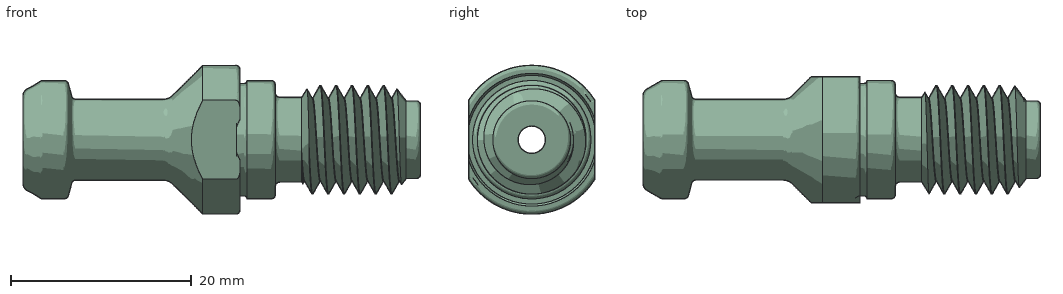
import cadquery as cq
import math

length = 44.0
head_radius = 6.55
head_face_radius = 5.35
head_taper_angle = 30.0
head_back_angle = 15.0
head_edge_round = 0.55
nose_round = 0.9

shank_radius = 4.5
shank_start = 5.5
head_fillet = 0.45
flange_fillet = 1.5

flange_diameter = 16.5
flange_radius = flange_diameter / 2
flange_start = 19.9
flange_end = 24.02
flange_cone_angle = 45.0
across_flats = 14.0
edge_round = 0.5

recess_depth = 0.4
recess_floor_radius = 7.15
recess_mouth_radius = 7.35

pilot_radius = 6.55
pilot_start = 24.75
pilot_end = 27.95
groove_radius = 6.25
groove_fillet = 0.25

neck_radius = 4.7
neck_fillet = 0.5

thread_start = 30.8
thread_end = 42.4
thread_radius = 6.05
thread_root_radius = 4.6
thread_pitch = 1.75
thread_crest_flat = 0.1
thread_flank_angle = 30.0
crest_position = 32.45
lead_in_length = 0.9
lead_out_length = 1.3
tip_radius = 4.3

bore_radius = 1.5
countersink_radius = 2.02


def rounded_profile(corners):
    """Close a polygon of (x, r, round) corners, with tangent arcs where round is not zero."""
    path = []
    for i, (x, r, radius) in enumerate(corners):
        corner = cq.Vector(x, r)
        if radius == 0:
            path.append((corner,))
            continue
        before = corners[i - 1]
        after = corners[(i + 1) % len(corners)]
        to_before = (cq.Vector(before[0], before[1]) - corner).normalized()
        to_after = (cq.Vector(after[0], after[1]) - corner).normalized()
        half_angle = to_before.getAngle(to_after) / 2
        setback = radius / math.tan(half_angle)
        bulge_gap = radius / math.sin(half_angle) - radius
        middle = corner + (to_before + to_after).normalized() * bulge_gap
        path.append((corner + to_before * setback, middle, corner + to_after * setback))

    sketch = cq.Workplane("XY").moveTo(path[0][-1].x, path[0][-1].y)
    for step in path[1:]:
        sketch = sketch.lineTo(step[0].x, step[0].y)
        if len(step) == 3:
            sketch = sketch.threePointArc(step[1].toTuple(), step[2].toTuple())
    return sketch.close()


def turned(corners):
    return rounded_profile(corners).revolve(360, (0, 0, 0), (1, 0, 0))


def turned_body():
    taper_length = (head_radius - head_face_radius) / math.tan(math.radians(head_taper_angle))
    head_back_run = (head_radius - shank_radius) * math.tan(math.radians(head_back_angle))
    cone_length = (flange_radius - shank_radius) / math.tan(math.radians(flange_cone_angle))
    recess_floor = flange_end - recess_depth
    return turned([
        (0, 0, 0),
        (0, head_face_radius, nose_round),
        (taper_length, head_radius, head_edge_round),
        (shank_start - head_back_run, head_radius, head_edge_round),
        (shank_start, shank_radius, head_fillet),
        (flange_start - cone_length, shank_radius, flange_fillet),
        (flange_start, flange_radius, 0),
        (flange_end, flange_radius, edge_round),
        (flange_end, recess_mouth_radius, 0),
        (recess_floor, recess_floor_radius, 0),
        (recess_floor, groove_radius, 0),
        (pilot_start, groove_radius, groove_fillet),
        (pilot_start, pilot_radius, 0),
        (pilot_end, pilot_radius, edge_round),
        (pilot_end, neck_radius, neck_fillet),
        (thread_start, neck_radius, 0),
        (thread_start, 0, 0),
    ])


def wrench_flats():
    """Slab that leaves two flats on the flange, facing -Y and +Y."""
    slab_height = 2 * flange_radius + 0.9
    return cq.Workplane("XY").box(length, across_flats, slab_height).translate((length / 2, 0, 0))


def thread_ridge():
    """Right-handed V ridge, swept along Z and then turned to run along X."""
    ridge_overlap = 0.05
    first_turn = crest_position - 2 * thread_pitch
    turns = math.ceil((thread_end - first_turn) / thread_pitch) + 1
    slope = math.tan(math.radians(thread_flank_angle))
    crest_half_width = thread_crest_flat / 2
    root_half_width = crest_half_width + (thread_radius - thread_root_radius) * slope
    base_radius = thread_root_radius - ridge_overlap
    helix = cq.Wire.makeHelix(thread_pitch, turns * thread_pitch, thread_radius)
    ridge = (
        cq.Workplane("XZ")
        .polyline([
            (base_radius, -root_half_width),
            (thread_radius, -crest_half_width),
            (thread_radius, crest_half_width),
            (base_radius, root_half_width),
        ])
        .close()
        .sweep(cq.Workplane(helix), isFrenet=True)
    )
    return ridge.rotate((0, 0, 0), (1, 1, 1), 120).translate((first_turn, 0, 0))


def thread_envelope():
    """Cones that taper the thread at both ends and clear its crest, with the plain tip after them."""
    clearance_factor = 1.5
    lead_in_rise = thread_radius - thread_root_radius
    lead_out_rise = thread_radius - tip_radius
    return turned([
        (thread_start, 0, 0),
        (thread_start, thread_root_radius, 0),
        (
            thread_start + clearance_factor * lead_in_length,
            thread_root_radius + clearance_factor * lead_in_rise,
            0,
        ),
        (
            thread_end - clearance_factor * lead_out_length,
            tip_radius + clearance_factor * lead_out_rise,
            0,
        ),
        (thread_end, tip_radius, 0),
        (length, tip_radius, edge_round),
        (length, 0, 0),
    ])


def threaded_end():
    """Ridge on a core that runs past both ends, trimmed by the envelope."""
    core_end = length + thread_pitch
    core = (
        cq.Workplane("YZ", origin=(pilot_end, 0, 0))
        .circle(thread_root_radius)
        .extrude(core_end - pilot_end)
    )
    return core.union(thread_ridge()).intersect(thread_envelope())


def through_bore():
    """Coolant bore with a 45 degree countersink in the head face."""
    countersink_depth = countersink_radius - bore_radius
    return turned([
        (0, 0, 0),
        (0, countersink_radius, 0),
        (countersink_depth, bore_radius, 0),
        (length, bore_radius, 0),
        (length, 0, 0),
    ])


stud = turned_body().intersect(wrench_flats())
result = stud.union(threaded_end()).cut(through_bore())